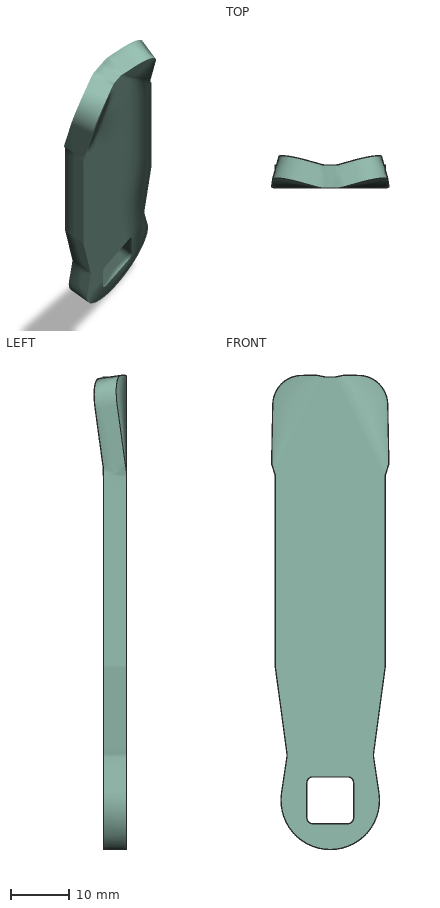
import math

import cadquery as cq

thickness = 4.0
half_width = 9.5
flat_top = 81.45
taper_top = 31.5
neck_half_width = 7.45
neck_height = 16.3
neck_radius = 2.0

eye_radius = 8.5
hole_size = 8.0
hole_corner_radius = 1.0

bend_foot_height = 64.4
bend_top_half_width = 0.9
bend_angle = math.radians(17.5)
bend_inner_radius = 1.0
neutral_fraction = 0.4
flap_corner_radius = 5.0
bend_sections = 5

bend_rise = flat_top - bend_foot_height
slant = math.atan2(half_width - bend_top_half_width, bend_rise)
bend_outer_radius = bend_inner_radius + thickness
bend_allowance = bend_angle * (bend_inner_radius + neutral_fraction * thickness)

along = cq.Vector(math.sin(slant), 0, math.cos(slant))
across = cq.Vector(-math.cos(slant), 0, math.sin(slant))
backward = cq.Vector(0, 1, 0)
bend_foot = cq.Vector(-half_width, 0, bend_foot_height)


def make_blade():
    """Flat part of the lever, ending at the two bend lines."""
    neck_above_eye = neck_height - eye_radius
    neck_distance = math.hypot(neck_half_width, neck_above_eye)
    tangent_angle = math.atan2(neck_above_eye, neck_half_width) - math.acos(eye_radius / neck_distance)
    tangent_x = eye_radius * math.cos(tangent_angle)
    tangent_z = eye_radius * (1 + math.sin(tangent_angle))
    blade = (
        cq.Workplane("XZ")
        .moveTo(tangent_x, tangent_z)
        .lineTo(neck_half_width, neck_height)
        .lineTo(half_width, taper_top)
        .lineTo(half_width, bend_foot_height)
        .lineTo(bend_top_half_width, flat_top)
        .lineTo(-bend_top_half_width, flat_top)
        .lineTo(-half_width, bend_foot_height)
        .lineTo(-half_width, taper_top)
        .lineTo(-neck_half_width, neck_height)
        .lineTo(-tangent_x, tangent_z)
        .threePointArc((0, 0), (tangent_x, tangent_z))
        .close()
        .extrude(-thickness)
    )
    for side in (-1, 1):
        neck_point = (side * neck_half_width, thickness / 2, neck_height)
        neck_edge = cq.selectors.NearestToPointSelector(neck_point)
        blade = blade.edges("|Y").edges(neck_edge).fillet(neck_radius)
    hole = (
        cq.Workplane("XZ")
        .center(0, eye_radius)
        .rect(hole_size, hole_size)
        .extrude(-thickness)
        .edges("|Y")
        .fillet(hole_corner_radius)
    )
    return blade.cut(hole)


def bent_plane(angle):
    """Plane on the front face after turning by angle: x along the bend line, y outward."""
    origin = (
        bend_foot
        + across * (bend_outer_radius * math.sin(angle))
        + backward * (bend_outer_radius * (1 - math.cos(angle)))
    )
    normal = across * math.sin(angle) - backward * math.cos(angle)
    return cq.Plane(origin=origin.toTuple(), xDir=along.toTuple(), normal=normal.toTuple())


def sheet_ends(distance):
    """Side-edge and top-edge positions along the bend line, at a flat distance from it."""
    side_end = distance / math.tan(slant)
    top_end = (bend_rise - distance * math.sin(slant)) / math.cos(slant)
    return side_end, top_end


def make_bend():
    """Curved strip between the blade and the left flap."""
    sections = []
    for index in range(bend_sections):
        fraction = index / (bend_sections - 1)
        plane = bent_plane(fraction * bend_angle)
        side_end, top_end = sheet_ends(fraction * bend_allowance)
        corners = [(side_end, 0), (top_end, 0), (top_end, -thickness), (side_end, -thickness)]
        points = [plane.toWorldCoords((x, 0, z)) for x, z in corners]
        sections.append(cq.Wire.makePolygon(points, close=True))
    return cq.Workplane(cq.Solid.makeLoft(sections))


def make_flap():
    """Flat left corner beyond the bend, with its rounded tip."""
    side_end, top_end = sheet_ends(bend_allowance)
    tip_distance = bend_rise * math.sin(slant)
    tip_along = bend_rise * math.cos(slant)
    tip = (tip_along, tip_distance - bend_allowance)
    plane = bent_plane(bend_angle)
    flap = cq.Workplane(plane).polyline([(side_end, 0), (top_end, 0), tip]).close().extrude(-thickness)
    tip_edge = cq.selectors.NearestToPointSelector(plane.toWorldCoords((*tip, -thickness / 2)).toTuple())
    return flap.edges(tip_edge).fillet(flap_corner_radius)


left_corner = make_bend().union(make_flap())
result = make_blade().union(left_corner).union(left_corner.mirror("YZ"))